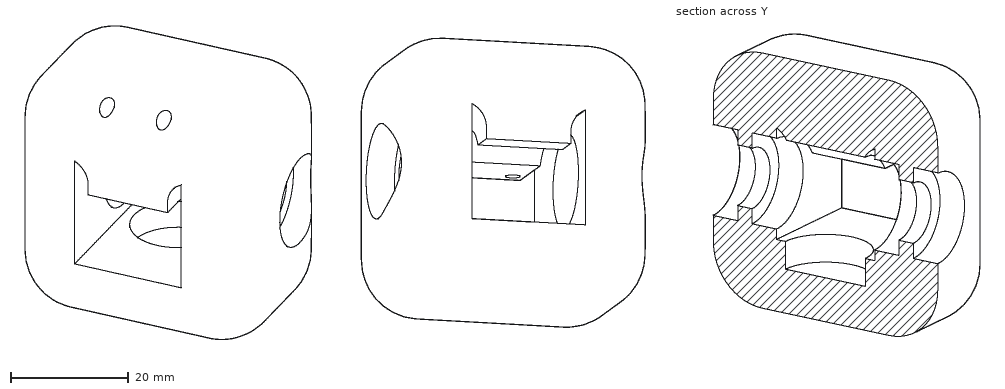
import cadquery as cq

width = 46.0
depth = 32.5
height = 46.0
edge_radius = 10.07

window_size = 20.0
tongue_width = 14.9
tongue_bottom = 4.0
tongue_arc_bottom = 6.0
tongue_arc_radius = 4.35

bore_y = 3.73
neck_diameter = 10.85
seat_diameter = 16.3
seat_depth = 5.0
neck_length = 3.0

cord_hole_diameter = 2.55
cord_hole_spacing = 10.65
cord_hole_y = -13.2


def rounded_block():
    return cq.Workplane("XY").box(width, depth, height).edges().fillet(edge_radius)


def window():
    """Window outline with two upper corner slots beside the tongue, cut along Y."""
    half_window = window_size / 2
    half_tongue = tongue_width / 2
    arc_centre_x = half_tongue + tongue_arc_radius
    arc_run = arc_centre_x - half_window
    arc_rise = (tongue_arc_radius**2 - arc_run**2) ** 0.5
    arc_top = tongue_arc_bottom + arc_rise
    return (
        cq.Workplane("XZ")
        .moveTo(-half_window, -half_window)
        .lineTo(half_window, -half_window)
        .lineTo(half_window, arc_top)
        .radiusArc((half_tongue, tongue_arc_bottom), -tongue_arc_radius)
        .lineTo(half_tongue, tongue_bottom)
        .lineTo(-half_tongue, tongue_bottom)
        .lineTo(-half_tongue, tongue_arc_bottom)
        .radiusArc((-half_window, arc_top), -tongue_arc_radius)
        .close()
        .extrude(depth, both=True)
    )


def cylinder_along_x(diameter, length, centre_x):
    start = cq.Vector(centre_x - length / 2, bore_y, 0)
    return cq.Solid.makeCylinder(diameter / 2, length, start, cq.Vector(1, 0, 0))


inner_bore_end = width / 2 - seat_depth - neck_length

result = rounded_block().cut(window())

result = result.cut(cylinder_along_x(neck_diameter, width, 0))
result = result.cut(cylinder_along_x(seat_diameter, 2 * inner_bore_end, 0))
for side in (-1, 1):
    seat_centre = side * (width - seat_depth) / 2
    result = result.cut(cylinder_along_x(seat_diameter, seat_depth, seat_centre))

floor_pocket = (
    cq.Workplane("XY").center(0, bore_y).circle(seat_diameter / 2).extrude(-inner_bore_end)
)
result = result.cut(floor_pocket)

cord_holes = (
    cq.Workplane("XY")
    .pushPoints([(side * cord_hole_spacing / 2, cord_hole_y) for side in (-1, 1)])
    .circle(cord_hole_diameter / 2)
    .extrude(height / 2)
)
result = result.cut(cord_holes)